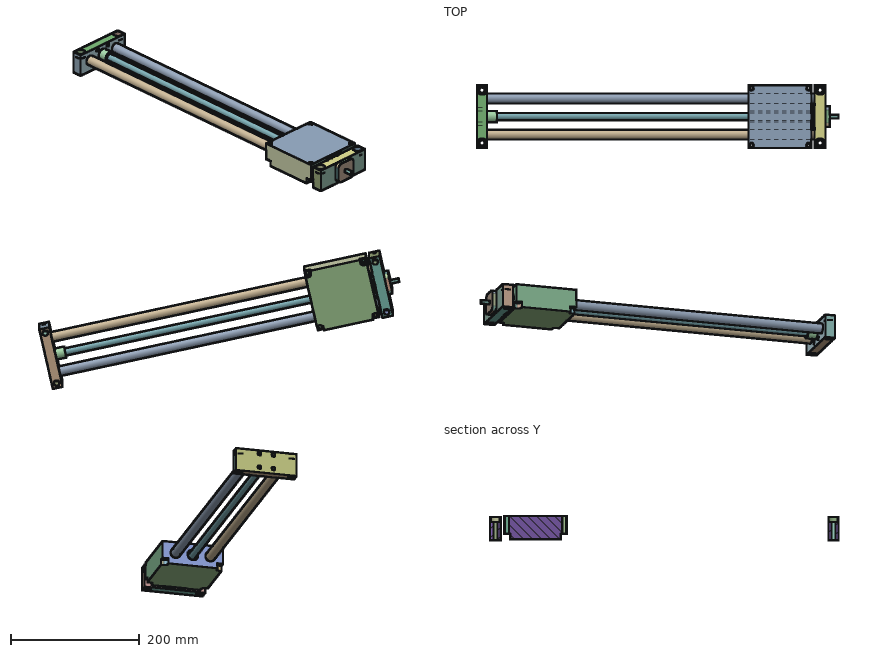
import cadquery as cq

total_length = 562.0
left_plate_thickness = 16.0
right_plate_start = 525.0
right_plate_thickness = 17.0
flange_thickness = 7.0
carriage_start = 422.0
carriage_length = 98.0

body_width = 98.0
plate_height = 36.5
carriage_top = 38.0
carriage_height = 36.5

rod_diameter = 16.0
rod_offset = 28.0
screw_diameter = 12.0
collar_diameter = 18.0
collar_length = 15.0
shaft_diameter = 6.0

mount_hole_diameter = 8.5
mount_bore_diameter = 14.0
mount_bore_depth = 8.0
mount_edge_distance = 8.0

bolt_hole_offset = 11.0
bolt_hole_diameter = 5.2
boss_diameter = 12.0
boss_offset = 12.0

flange_size = 32.5
flange_corner_radius = 6.0

retainer_start = 521.0
retainer_thickness = 1.5

screw_clearance_diameter = 17.0
clamp_hole_diameter = 5.5
clamp_hole_inset = 4.5
notch_radius = 5.0
notch_height = 8.5

right_plate_end = right_plate_start + right_plate_thickness
flange_end = right_plate_end + flange_thickness
carriage_end = carriage_start + carriage_length
carriage_bottom = carriage_top - carriage_height
axis_height = carriage_top - carriage_height / 2


def block(x_start, length, z_bottom, height):
    """Full-width block centred on Y."""
    return cq.Workplane("XY").box(length, body_width, height, centered=(False, True, False)).translate(
        (x_start, 0, z_bottom)
    )


def x_plane(x):
    """Plane facing +X, with its origin on the screw axis."""
    return cq.Workplane("YZ", origin=(x, 0, axis_height))


def bar(x_start, x_end, diameter, y=0, z=0):
    """Round bar along X, offset by y and z from the screw axis."""
    return x_plane(x_start).center(y, z).circle(diameter / 2).extrude(x_end - x_start)


def square_pattern(offset):
    """Four (y, z) points around the screw axis."""
    return [(y, z) for y in (-offset, offset) for z in (-offset, offset)]


def flange_block(x_start, thickness):
    """Square flange around the screw axis with rounded corners."""
    flange = x_plane(x_start).rect(flange_size, flange_size).extrude(thickness)
    return flange.edges("|X").fillet(flange_corner_radius)


def end_plate(x_start, thickness):
    """End plate with a counterbored vertical hole near each end."""
    hole_spacing = body_width - 2 * mount_edge_distance
    plate = block(x_start, thickness, 0, plate_height)
    holes = cq.Workplane("XY", origin=(x_start + thickness / 2, 0, plate_height))
    points = [(0, -hole_spacing / 2), (0, hole_spacing / 2)]
    through = holes.pushPoints(points).circle(mount_hole_diameter / 2).extrude(-plate_height)
    bores = holes.pushPoints(points).circle(mount_bore_diameter / 2).extrude(-mount_bore_depth)
    return plate.cut(through).cut(bores)


def bearing_parts():
    """Retainer plate and flange on either side of the right end plate, with bosses between."""
    parts = flange_block(retainer_start, retainer_thickness)
    retainer_end = retainer_start + retainer_thickness
    for y, z in square_pattern(boss_offset):
        boss_start = retainer_start if z < 0 else retainer_end
        parts = parts.union(bar(boss_start, right_plate_start, boss_diameter, y, z))
    return parts.union(flange_block(right_plate_end, flange_thickness))


def make_frame():
    """End plates joined by the guide rods and the drive screw."""
    left_plate = end_plate(0, left_plate_thickness)
    for y, z in square_pattern(bolt_hole_offset):
        left_plate = left_plate.cut(bar(0, left_plate_thickness, bolt_hole_diameter, y, z))

    frame = left_plate.union(end_plate(right_plate_start, right_plate_thickness))
    for side in (-1, 1):
        frame = frame.union(bar(left_plate_thickness, right_plate_start, rod_diameter, side * rod_offset))
    frame = frame.union(bar(left_plate_thickness, right_plate_start, screw_diameter))
    frame = frame.union(bar(left_plate_thickness, left_plate_thickness + collar_length, collar_diameter))
    frame = frame.union(bearing_parts())
    return frame.union(bar(flange_end, total_length, shaft_diameter))


def corner_notch():
    """Notch at the +X +Y lower corner of the carriage, rounded around the clamp hole."""
    side = clamp_hole_inset + notch_radius
    notch = (
        cq.Workplane("XY", origin=(carriage_end - side, body_width / 2 - side, carriage_bottom))
        .rect(side, side, centered=False)
        .extrude(notch_height)
    )
    return notch.edges("|Z and <X and <Y").fillet(notch_radius)


def make_carriage():
    """Sliding block with bores for the rods and screw and a clamp hole in each corner."""
    carriage = block(carriage_start, carriage_length, carriage_bottom, carriage_height)
    for side in (-1, 1):
        carriage = carriage.cut(bar(carriage_start, carriage_end, rod_diameter, side * rod_offset))
    carriage = carriage.cut(bar(carriage_start, carriage_end, screw_clearance_diameter))

    middle = carriage_start + carriage_length / 2
    clamp_holes = (
        cq.Workplane("XY", origin=(middle, 0, carriage_bottom))
        .rect(carriage_length - 2 * clamp_hole_inset, body_width - 2 * clamp_hole_inset, forConstruction=True)
        .vertices()
        .circle(clamp_hole_diameter / 2)
        .extrude(carriage_height)
    )
    carriage = carriage.cut(clamp_holes)

    back_notch = corner_notch()
    front_notch = back_notch.mirror("XZ")
    for notch in (back_notch, front_notch):
        carriage = carriage.cut(notch).cut(notch.mirror("YZ", (middle, 0, 0)))
    return carriage


frame = make_frame()
carriage = make_carriage()
result = cq.Compound.makeCompound([frame.val(), carriage.val()])